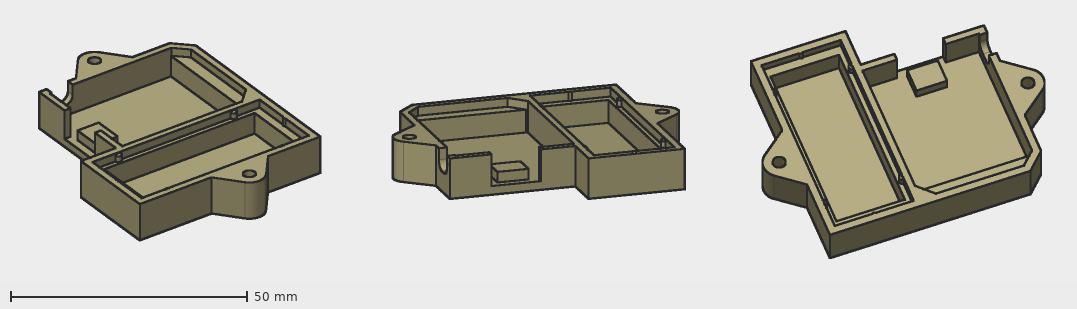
import cadquery as cq
import math

height = 9.0
length = 63.45
body_width = 49.35
back_y = 21.0
depth = 47.0
step_x = 3.25
left_front_y = -16.95
corner_cut = 3.95
wall = 1.8
front_wall = 1.6
floor = 1.95
ledge_depth = 1.95

left_x = -body_width / 2
right_x = body_width / 2
front_y = back_y - depth
inner_back_y = back_y - wall
ledge_z = height - ledge_depth

ear_radius = 3.55
ear_hole_diameter = 2.7
ear_base_half = 7.35
ear_x = length / 2 - ear_radius

left_pocket_x0 = left_x + wall
left_pocket_x1 = 3.4
left_pocket_y0 = left_front_y + front_wall
left_ledge_y = 16.1
pocket_cut_left = 3.0
pocket_cut_right = 3.4

window_x0 = -15.4
window_width = 11.05
block_x0 = -13.45
block_width = 6.9
block_height = 2.35

notch_y0 = -15.0
notch_width = 5.5
notch_depth = 4.5
notch_radius = 1.95

right_pocket_x0 = 5.0
right_pocket_x1 = right_x - wall
right_pocket_y0 = front_y + wall
ledge_side = 1.2
ledge_end = 2.15

pin_radius = 0.75
pin_tip_radius = 0.2
pin_half_spacing = 15.0
rib_radius = 0.5
rib_protrusion = 0.2


def box(x0, x1, y0, y1, z0, z1):
    """Box between opposite corners."""
    return cq.Workplane("XY").box(x1 - x0, y1 - y0, z1 - z0, centered=False).translate((x0, y0, z0))


def ear(side):
    """Ear with straight flanks tangent to its rounded end; side is -1 (left) or 1 (right)."""
    reach = ear_x - right_x
    distance = math.hypot(reach, ear_base_half)
    angle = math.atan2(ear_base_half, -reach) - math.acos(ear_radius / distance)
    tangent_x = side * (ear_x + ear_radius * math.cos(angle))
    tangent_y = ear_radius * math.sin(angle)
    base_x = side * right_x
    root_x = base_x - side * wall / 2
    return (
        cq.Workplane("XY")
        .moveTo(root_x, -ear_base_half)
        .lineTo(base_x, -ear_base_half)
        .lineTo(tangent_x, -tangent_y)
        .threePointArc((side * length / 2, 0), (tangent_x, tangent_y))
        .lineTo(base_x, ear_base_half)
        .lineTo(root_x, ear_base_half)
        .close()
        .extrude(height)
    )


def body():
    """Solid stepped block with one cut corner and two drilled ears."""
    outline = [
        (left_x, left_front_y),
        (step_x, left_front_y),
        (step_x, front_y),
        (right_x, front_y),
        (right_x, back_y),
        (left_x + corner_cut, back_y),
        (left_x, back_y - corner_cut),
    ]
    block = cq.Workplane("XY").polyline(outline).close().extrude(height)
    for side in (-1, 1):
        block = block.union(ear(side))
    holes = (
        cq.Workplane("XY")
        .pushPoints([(-ear_x, 0), (ear_x, 0)])
        .circle(ear_hole_diameter / 2)
        .extrude(height)
    )
    return block.cut(holes)


def left_pocket():
    """Pocket with cut back corners, leaving a ledge along its back wall."""
    outline = [
        (left_pocket_x0, left_pocket_y0),
        (left_pocket_x1, left_pocket_y0),
        (left_pocket_x1, inner_back_y - pocket_cut_right),
        (left_pocket_x1 - pocket_cut_right, inner_back_y),
        (left_pocket_x0 + pocket_cut_left, inner_back_y),
        (left_pocket_x0, inner_back_y - pocket_cut_left),
    ]
    space = cq.Workplane("XY").workplane(offset=floor).polyline(outline).close().extrude(height - floor)
    ledge = box(left_pocket_x0, left_pocket_x1, left_ledge_y, inner_back_y, floor, ledge_z)
    return space.cut(ledge)


def cable_notch():
    """Slot open at the top, with rounded bottom corners, through the left wall."""
    slot = box(left_x, left_pocket_x0, notch_y0, notch_y0 + notch_width, height - notch_depth, height)
    return slot.edges("|X and <Z").fillet(notch_radius)


def right_pocket():
    """Shallow recess with a deeper pocket inside it."""
    recess = box(right_pocket_x0, right_pocket_x1, right_pocket_y0, inner_back_y, ledge_z, height)
    deep = box(
        right_pocket_x0 + ledge_side,
        right_pocket_x1 - ledge_side,
        right_pocket_y0 + ledge_end,
        inner_back_y - ledge_end,
        floor,
        height,
    )
    return recess.union(deep)


def pin(x, y):
    """Pin on the ledge with a 45 degree tapered tip, flush with the top."""
    return (
        cq.Workplane("XY", origin=(x, y, ledge_z))
        .circle(pin_radius)
        .extrude(ledge_depth)
        .faces(">Z")
        .chamfer(pin_radius - pin_tip_radius)
    )


def rib(x, y):
    """Round upright rib on the ledge, mostly sunk into an end wall."""
    return cq.Workplane("XY", origin=(x, y, ledge_z)).circle(rib_radius).extrude(ledge_depth)


result = body().cut(left_pocket()).cut(right_pocket()).cut(cable_notch())

window = box(window_x0, window_x0 + window_width, left_front_y, left_pocket_y0, floor, height)
result = result.cut(window)

block = box(block_x0, block_x0 + block_width, notch_y0, notch_y0 + notch_width, floor, floor + block_height)
result = result.union(block)

pocket_center_x = (right_pocket_x0 + right_pocket_x1) / 2
pocket_center_y = (right_pocket_y0 + inner_back_y) / 2
for pin_x in (right_pocket_x0, right_pocket_x1):
    for offset in (-pin_half_spacing, pin_half_spacing):
        result = result.union(pin(pin_x, pocket_center_y + offset))

rib_inset = rib_radius - rib_protrusion
for rib_y in (right_pocket_y0 - rib_inset, inner_back_y + rib_inset):
    result = result.union(rib(pocket_center_x, rib_y))